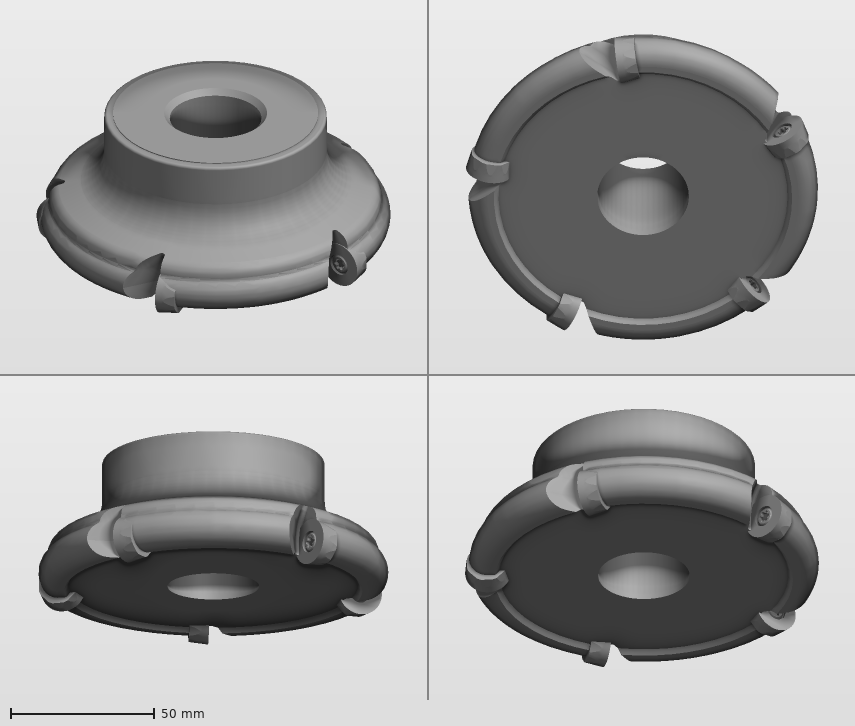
import cadquery as cq
import math


total_height = 50.0
tooth_count = 5
tooth_pitch = 360 / tooth_count

hub_radius = 77.6 / 2
boss_radius = 71.6 / 2
boss_height = 0.4
hub_edge_radius = 1.0
bore_radius = 32.0 / 2
bore_chamfer = 2.0

hub_fillet = 12.5
cone_angle = math.radians(20)
shoulder_radius = 4.9
neck_radius = 57.9
groove_fillet = 1.5
rim_centre_radius = 54.3
rim_centre_z = 9.6
rim_radius = 6.7
recess_radius = 50.3
recess_depth = 1.6

insert_radius = 8.0
insert_thickness = 6.8
insert_tip_radius = 62.4
insert_face_y = 0.1
clearance_angle = math.radians(7)
facet_count = 8
facet_angle = math.radians(11)
facet_back_radius = 6.9
screw_recess_radius = 7.7 / 2
screw_recess_depth = 1.1
screw_base_radius = 7.2 / 2
screw_top_radius = 5.5 / 2
screw_top_depth = 0.2
socket_radius = 4.5 / 2
socket_lobe_count = 6
socket_lobe_radius = 0.6
socket_depth = 1.5

gash_face_y = -0.2
gash_root_radius = 48.2
gash_root_width = 2.0
gash_face_round = 1.0
gash_wall_round = 0.4
gash_wall_slope = 1.03
gash_reach = 74.0
gash_bend_z = 8.9
gash_bend_radius = 18.5
gash_top_z = 22.5


def point_on_arc(centre, radius, angle):
    return (centre[0] + radius * math.cos(angle), centre[1] + radius * math.sin(angle))


def make_turned_body():
    """Revolve the half section: arcs tangent to their neighbours, 45 degree recess side."""
    rim_centre = (rim_centre_radius, rim_centre_z)
    groove_offset = neck_radius + groove_fillet - rim_centre_radius
    groove_angle = math.acos(groove_offset / (rim_radius + groove_fillet))
    groove_centre = point_on_arc(rim_centre, rim_radius + groove_fillet, groove_angle)
    groove_middle_angle = math.pi + groove_angle / 2

    shoulder_centre = (neck_radius - shoulder_radius, groove_centre[1])
    cone_normal_angle = math.pi / 2 - cone_angle
    cone_outer = point_on_arc(shoulder_centre, shoulder_radius, cone_normal_angle)

    cone_inner_radius = hub_radius + hub_fillet * (1 - math.sin(cone_angle))
    cone_inner_z = cone_outer[1] + (cone_outer[0] - cone_inner_radius) * math.tan(cone_angle)
    fillet_centre = (hub_radius + hub_fillet, cone_inner_z + hub_fillet * math.cos(cone_angle))
    fillet_middle_angle = math.pi + cone_normal_angle / 2

    hub_top_z = total_height - boss_height
    edge_centre = (hub_radius - hub_edge_radius, hub_top_z - hub_edge_radius)

    rim_bottom_z = rim_centre_z - rim_radius
    recess_z = rim_bottom_z + recess_depth
    rim_middle_angle = (groove_angle - math.pi / 2) / 2
    profile = (
        cq.Workplane("XZ")
        .moveTo(bore_radius, recess_z)
        .lineTo(recess_radius, recess_z)
        .lineTo(recess_radius + recess_depth, rim_bottom_z)
        .lineTo(rim_centre_radius, rim_bottom_z)
        .threePointArc(
            point_on_arc(rim_centre, rim_radius, rim_middle_angle),
            point_on_arc(rim_centre, rim_radius, groove_angle),
        )
        .threePointArc(
            point_on_arc(groove_centre, groove_fillet, groove_middle_angle),
            (neck_radius, groove_centre[1]),
        )
        .threePointArc(
            point_on_arc(shoulder_centre, shoulder_radius, cone_normal_angle / 2),
            cone_outer,
        )
        .lineTo(cone_inner_radius, cone_inner_z)
        .threePointArc(
            point_on_arc(fillet_centre, hub_fillet, fillet_middle_angle),
            (hub_radius, fillet_centre[1]),
        )
        .lineTo(hub_radius, edge_centre[1])
        .threePointArc(
            point_on_arc(edge_centre, hub_edge_radius, math.pi / 4),
            (edge_centre[0], hub_top_z),
        )
        .lineTo(boss_radius, hub_top_z)
        .lineTo(boss_radius, total_height)
        .lineTo(bore_radius + bore_chamfer, total_height)
        .lineTo(bore_radius, total_height - bore_chamfer)
        .close()
    )
    return profile.revolve(360, (0, 0, 0), (0, 1, 0))


def gash_section(z):
    """V-shaped outline with a round root, at height z on the -X side.

    Above the bend the root and the wall move outward along a parabola.
    """
    height_above_bend = max(z - gash_bend_z, 0)
    root_x = -gash_root_radius - height_above_bend**2 / (2 * gash_bend_radius)
    wall_start_x = root_x - gash_wall_round
    wall_start_y = gash_face_y + gash_root_width
    wall_end_y = wall_start_y + (gash_reach + wall_start_x) * gash_wall_slope
    return (
        cq.Workplane("XY", origin=(0, 0, z))
        .moveTo(-gash_reach, gash_face_y)
        .lineTo(root_x - gash_face_round, gash_face_y)
        .threePointArc(
            (root_x, gash_face_y + gash_root_width / 2),
            (wall_start_x, wall_start_y),
        )
        .lineTo(-gash_reach, wall_end_y)
        .close()
    )


def make_gash_cutter():
    """Upright V below the bend; above it the wall curves over toward the insert."""
    lower = gash_section(0).extrude(gash_bend_z)
    heights = [gash_bend_z, (gash_bend_z + gash_top_z) / 2, gash_top_z]
    upper = cq.Solid.makeLoft([gash_section(z).val() for z in heights])
    return lower.union(cq.Workplane(upper))


def insert_plane(depth):
    """Plane across the insert axis, facing back, at a depth below the rake face."""
    centre_x = insert_radius - insert_tip_radius
    return cq.Workplane("XZ", origin=(centre_x, insert_face_y - depth, insert_radius))


def facet_outline(apothem):
    corner_radius = apothem / math.cos(math.pi / facet_count)
    angles = [(i + 0.5) * 2 * math.pi / facet_count for i in range(facet_count)]
    return [point_on_arc((0, 0), corner_radius, angle) for angle in angles]


def make_insert_blank():
    """Conical disc with flat locating facets around its back edge."""
    back_radius = insert_radius - insert_thickness * math.tan(clearance_angle)
    facet_front_radius = facet_back_radius + insert_thickness * math.tan(facet_angle)
    disc = (
        insert_plane(0)
        .circle(insert_radius)
        .workplane(offset=insert_thickness)
        .circle(back_radius)
        .loft(ruled=True)
    )
    facets = (
        insert_plane(0)
        .polyline(facet_outline(facet_front_radius))
        .close()
        .workplane(offset=insert_thickness)
        .polyline(facet_outline(facet_back_radius))
        .close()
        .loft(ruled=True)
    )
    return disc.intersect(facets)


def make_insert(blank):
    """Add the screw recess, the conical screw head in it and its six-lobed socket."""
    recess = insert_plane(0).circle(screw_recess_radius).extrude(screw_recess_depth)
    screw_head = (
        insert_plane(screw_top_depth)
        .circle(screw_top_radius)
        .workplane(offset=screw_recess_depth - screw_top_depth)
        .circle(screw_base_radius)
        .loft(ruled=True)
    )
    lobe_centre_radius = socket_radius - socket_lobe_radius
    socket_core = insert_plane(screw_top_depth).circle(lobe_centre_radius).extrude(socket_depth)
    socket_lobes = (
        insert_plane(screw_top_depth)
        .polarArray(lobe_centre_radius, 0, 360, socket_lobe_count)
        .circle(socket_lobe_radius)
        .extrude(socket_depth)
    )
    socket = socket_core.union(socket_lobes)
    return blank.cut(recess.cut(screw_head)).cut(socket)


def turn_to_tooth(shape, index):
    return shape.rotate((0, 0, 0), (0, 0, 1), index * tooth_pitch)


gash_cutter = make_gash_cutter()
insert_blank = make_insert_blank()
insert_master = make_insert(insert_blank)

cutter_body = make_turned_body()
inserts = []
for tooth in range(tooth_count):
    cutter_body = cutter_body.cut(turn_to_tooth(gash_cutter, tooth))
    cutter_body = cutter_body.cut(turn_to_tooth(insert_blank, tooth))
    inserts.append(turn_to_tooth(insert_master, tooth).solids().val())

result = cq.Compound.makeCompound([cutter_body.solids().val(), *inserts])